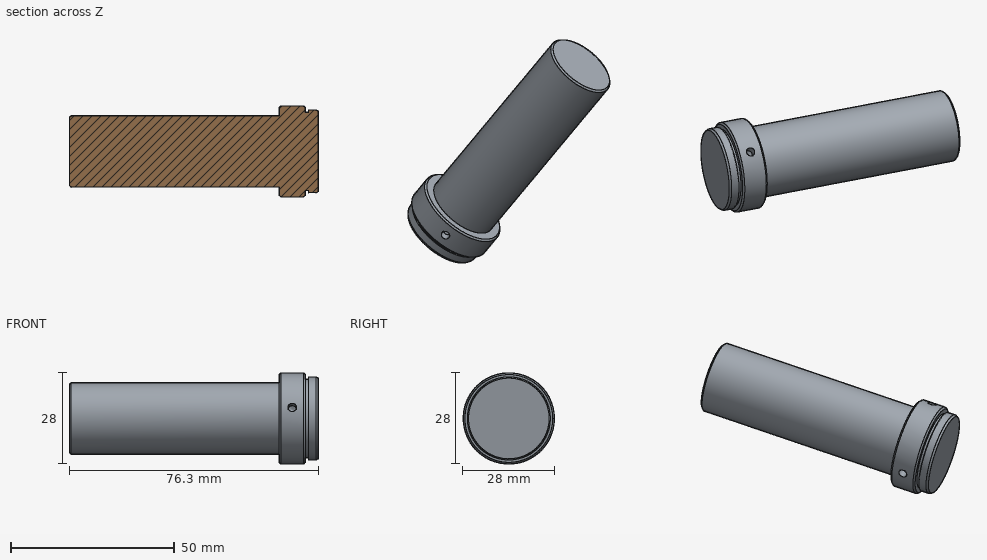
import cadquery as cq
import math

total_length = 76.3
body_radius = 11.0
body_chamfer = 0.5

flange_start = 64.25
flange_end = 72.3
flange_radius = 14.0
flange_chamfer = 0.5

rim_start = 73.25
rim_radius = 12.75
rim_chamfer_length = 0.7
rim_chamfer_depth = 0.4
groove_radius = 12.05

hole_count = 3
first_hole_angle = 46.0
hole_radius = 1.3
hole_depth = 3.05
drill_tip_angle = 118.0
hole_x = (flange_start + flange_end) / 2


def cylinder(start, end, radius):
    """Cylinder along X between two axial positions."""
    return cq.Workplane("YZ", origin=(start, 0, 0)).circle(radius).extrude(end - start)


def radial_hole(angle):
    """Drill cutter entering the flange toward the X axis."""
    tip_depth = hole_radius / math.tan(math.radians(drill_tip_angle / 2))
    floor = flange_radius - hole_depth
    drill = (
        cq.Workplane("XY")
        .moveTo(0, floor - tip_depth)
        .lineTo(hole_radius, floor)
        .lineTo(hole_radius, flange_radius)
        .lineTo(0, flange_radius)
        .close()
        .revolve(360, (0, 0, 0), (0, 1, 0))
    )
    return drill.translate((hole_x, 0, 0)).rotate((0, 0, 0), (1, 0, 0), angle)


body = cylinder(0, flange_end, body_radius).faces("<X").chamfer(body_chamfer)
flange = cylinder(flange_start, flange_end, flange_radius).faces("<X or >X").chamfer(flange_chamfer)
groove_core = cylinder(flange_start, rim_start, groove_radius)
rim = (
    cq.Workplane("XY")
    .moveTo(rim_start, 0)
    .lineTo(rim_start, rim_radius)
    .lineTo(total_length - rim_chamfer_length, rim_radius)
    .lineTo(total_length, rim_radius - rim_chamfer_depth)
    .lineTo(total_length, 0)
    .close()
    .revolve(360, (0, 0, 0), (1, 0, 0))
)

result = body.union(flange).union(groove_core).union(rim)
for index in range(hole_count):
    result = result.cut(radial_hole(first_hole_angle + index * 360 / hole_count))